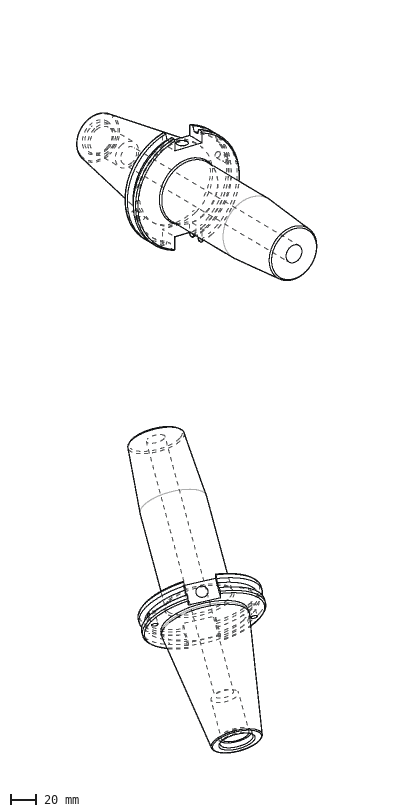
import cadquery as cq
import math

total_length = 261.5
gauge_x = 101.0
flange_start = 104.5
flange_width = 16.7
flange_end = flange_start + flange_width
collar_end = 123.0
nose_start = 204.5

taper_ratio = 7 / 24
gauge_radius = 69.8 / 2
tail_radius = gauge_radius - gauge_x * taper_ratio / 2
tail_chamfer = 0.8
neck_radius = 69.3 / 2
neck_bevel = 1.5

flange_radius = 98.0 / 2
rim_chamfer = 1.3
groove_radius = 45.0
groove_floor_width = 4.2
groove_wall_width = 1.8
groove_mouth_width = groove_floor_width + 2 * groove_wall_width
groove_center = flange_start + flange_width / 2

body_radius = 53.0 / 2
collar_radius = 27.5
nose_radius = 45.0 / 2
nose_chamfer = 1.3

drill_half_angle = 59.0

bore_radius = 15.0 / 2
mouth_radius = 28.8 / 2
mouth_bevel_depth = 1.3
pilot_radius = 26.2 / 2
pilot_depth = 5.5
socket_radius = 22.0 / 2
socket_depth = 39.2

slot_width = 25.6
upper_slot_floor = 37.7
lower_slot_floor = 35.3
dimple_diameter = 9.5

port_angle = 19.8
port_circle_radius = 41.9
port_diameter = 5.0
cross_hole_diameter = 4.2


def make_shank():
    """Revolve the complete outside profile around the X axis."""
    floor_half = groove_floor_width / 2
    mouth_half = groove_mouth_width / 2
    profile = [
        (0, 0),
        (0, tail_radius - tail_chamfer),
        (tail_chamfer, tail_radius + tail_chamfer * taper_ratio / 2),
        (gauge_x, gauge_radius),
        (gauge_x + neck_bevel, neck_radius),
        (flange_start, neck_radius),
        (flange_start, flange_radius - rim_chamfer),
        (flange_start + rim_chamfer, flange_radius),
        (groove_center - mouth_half, flange_radius),
        (groove_center - floor_half, groove_radius),
        (groove_center + floor_half, groove_radius),
        (groove_center + mouth_half, flange_radius),
        (flange_end - rim_chamfer, flange_radius),
        (flange_end, flange_radius - rim_chamfer),
        (flange_end, collar_radius),
        (collar_end, body_radius),
        (nose_start, body_radius),
        (total_length - nose_chamfer, nose_radius),
        (total_length, nose_radius - nose_chamfer),
        (total_length, 0),
    ]
    return revolve_about_x(profile)


def revolve_about_x(profile):
    return cq.Workplane("XY").polyline(profile).close().revolve(360, (0, 0, 0), (1, 0, 0))


def make_bore():
    """Drawbar socket with a wider bevelled mouth, running into the through bore."""
    cone_length = (socket_radius - bore_radius) / math.tan(math.radians(drill_half_angle))
    return revolve_about_x([
        (0, 0),
        (0, mouth_radius),
        (mouth_bevel_depth, pilot_radius),
        (pilot_depth, pilot_radius),
        (pilot_depth, socket_radius),
        (socket_depth, socket_radius),
        (socket_depth + cone_length, bore_radius),
        (total_length, bore_radius),
        (total_length, 0),
    ])


def make_slot(floor_height, side):
    """Drive slot across the flange; side is +1 for the top and -1 for the bottom."""
    slot_height = flange_radius - floor_height
    center_height = floor_height + slot_height / 2
    return (
        cq.Workplane("XY")
        .box(flange_width, slot_width, slot_height)
        .translate((groove_center, 0, side * center_height))
    )


def drill_point(radius, base, direction):
    """Conical tip of a drilled hole, starting at base and pointing along direction."""
    depth = radius / math.tan(math.radians(drill_half_angle))
    return cq.Solid.makeCone(radius, 0, depth, base, direction)


def make_dimple():
    """Conical dimple in the floor of the upper slot."""
    center = cq.Vector(groove_center, 0, upper_slot_floor)
    return drill_point(dimple_diameter / 2, center, cq.Vector(0, 0, -1))


def make_port(side):
    """Drilled axial hole meeting a radial hole that opens in the groove floor."""
    angle = math.radians(port_angle)
    radial = cq.Vector(0, side * math.cos(angle), side * math.sin(angle))
    axial = cq.Vector(1, 0, 0)
    mouth = radial * port_circle_radius + axial * flange_start
    junction = radial * port_circle_radius + axial * groove_center
    port_radius = port_diameter / 2
    cross_radius = cross_hole_diameter / 2
    port_length = groove_center + cross_radius - flange_start
    cross_length = flange_radius - port_circle_radius
    port = cq.Solid.makeCylinder(port_radius, port_length, mouth, axial)
    port_tip = drill_point(port_radius, mouth + axial * port_length, axial)
    cross_hole = cq.Solid.makeCylinder(cross_radius, cross_length, junction, radial)
    return port.fuse(port_tip, cross_hole)


result = make_shank().cut(make_bore())
result = result.cut(make_slot(upper_slot_floor, 1)).cut(make_slot(lower_slot_floor, -1))
result = result.cut(cq.Workplane(make_dimple()))
for port_side in (1, -1):
    result = result.cut(cq.Workplane(make_port(port_side)))